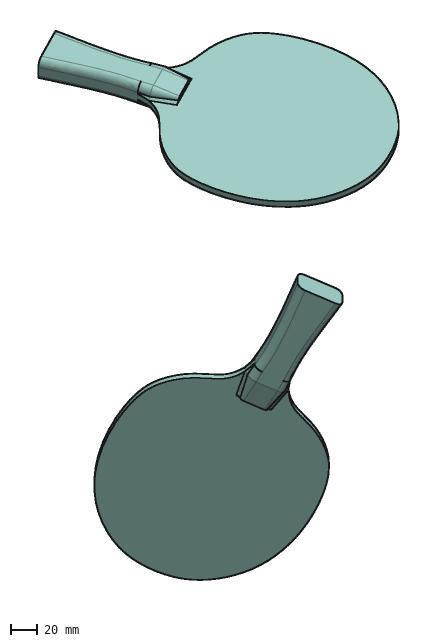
import cadquery as cq
import math

LENGTH = 281.0
BLADE_WIDTH = 171.0
BLADE_THICKNESS = 6.2
GRIP_HEIGHT = 22.0
GRIP_ROUND = 6.2

BUTT_HALF_WIDTH = 19.0
FLARE_X = 25.3
FLARE_HALF_WIDTH = 16.5
WAIST_X = 50.5
WAIST_HALF_WIDTH = 14.5
GRIP_END_X = 80.0
GRIP_END_HALF_WIDTH = 15.2

CREST_X = 90.2
CREST_HALF_WIDTH = 18.5
CREST_SHOULDER = 16.0
NOSE_X = 111.8
NOSE_HALF_WIDTH = 15.0
NOSE_SHOULDER = 11.5
NOSE_HALF_HEIGHT = 7.3
FLAT_HALF_WIDTH = GRIP_END_HALF_WIDTH - GRIP_ROUND

WIDEST_X = 182.7
half_height = GRIP_HEIGHT / 2
half_blade = BLADE_THICKNESS / 2
shoulder_z = half_height - GRIP_ROUND


def make_blade():
    """Plate with a concave throat flowing into an egg-shaped outline."""
    grip_corner = (GRIP_END_X, GRIP_END_HALF_WIDTH)
    throat = [(CREST_X, CREST_HALF_WIDTH), (101.2, 27.3), (111.3, 47.8)]
    shoulder = [(121.5, 63.5), (136.5, 76.5), (157.5, 83.5), (WIDEST_X, BLADE_WIDTH / 2)]
    far_side = [(213.0, 81.8), (243.4, 68.5), (263.5, 50.0), (276.5, 27.5)]
    upper_edge = throat + shoulder + far_side
    lower_edge = [(x, -y) for x, y in reversed([grip_corner] + upper_edge)]
    return (
        cq.Workplane("XY", origin=(0, 0, -half_blade))
        .moveTo(*grip_corner)
        .spline(upper_edge + [(LENGTH, 0)] + lower_edge, includeCurrent=True)
        .close()
        .extrude(BLADE_THICKNESS)
    )


def make_grip():
    """Flared handle with rounded long edges."""
    side = [(FLARE_X, FLARE_HALF_WIDTH), (WAIST_X, WAIST_HALF_WIDTH), (GRIP_END_X, GRIP_END_HALF_WIDTH)]
    opposite_side = [(x, -y) for x, y in reversed(side[:-1])] + [(0, -BUTT_HALF_WIDTH)]
    return (
        cq.Workplane("XY", origin=(0, 0, -half_height))
        .moveTo(0, BUTT_HALF_WIDTH)
        .spline(side, includeCurrent=True)
        .lineTo(GRIP_END_X, -GRIP_END_HALF_WIDTH)
        .spline(opposite_side, includeCurrent=True)
        .close()
        .extrude(GRIP_HEIGHT)
        .faces("<Z or >Z")
        .edges("not(<X or >X)")
        .fillet(GRIP_ROUND)
    )


def throat_section(x, half_width, shoulder, top):
    """Closed section: upright at the blade, skirt, rounded shoulder, flat top and bottom."""
    diagonal = math.sqrt(0.5)
    arc_y = FLAT_HALF_WIDTH + (shoulder - FLAT_HALF_WIDTH) * diagonal
    arc_z = shoulder_z + (top - shoulder_z) * diagonal
    sketch = cq.Workplane("YZ", origin=(x, 0, 0)).moveTo(half_width, -half_blade)
    for side in (1, -1):
        sketch = (
            sketch.lineTo(side * half_width, side * half_blade)
            .lineTo(side * shoulder, side * shoulder_z)
            .threePointArc((side * arc_y, side * arc_z), (side * FLAT_HALF_WIDTH, side * top))
            .lineTo(-side * FLAT_HALF_WIDTH, side * top)
            .threePointArc((-side * arc_y, side * arc_z), (-side * shoulder, side * shoulder_z))
            .lineTo(-side * half_width, side * half_blade)
        )
    return sketch.close().val()


def make_throat():
    """Skirted crest followed by the tapering nose."""
    start = throat_section(GRIP_END_X, GRIP_END_HALF_WIDTH, GRIP_END_HALF_WIDTH, half_height)
    crest = throat_section(CREST_X, CREST_HALF_WIDTH, CREST_SHOULDER, half_height)
    nose = throat_section(NOSE_X, NOSE_HALF_WIDTH, NOSE_SHOULDER, NOSE_HALF_HEIGHT)
    neck = cq.Solid.makeLoft([start, crest], True)
    taper = cq.Solid.makeLoft([crest, nose], True)
    return cq.Workplane(neck).union(cq.Workplane(taper))


result = make_grip().union(make_throat()).union(make_blade())